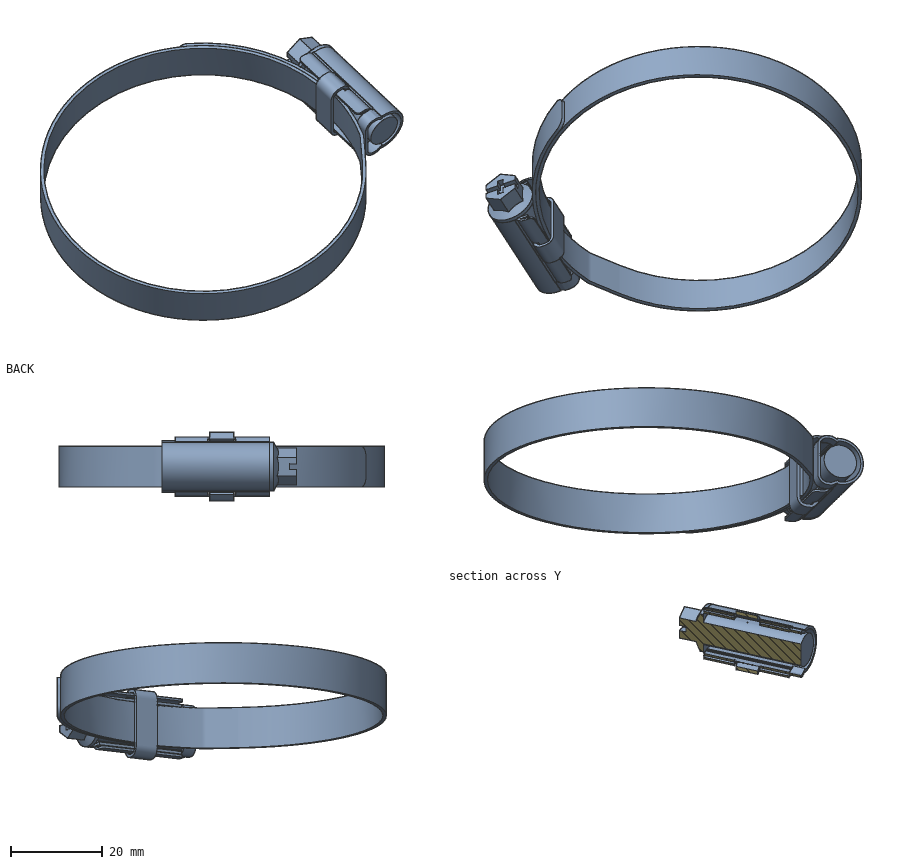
import cadquery as cq
import math


band_outer_radius = 35.7
band_thickness = 0.75
band_width = 9.0
lap_clearance = 0.03
ramp_end_angle = 55.0
under_end_angle = 88.0
tail_end_angle = 150.0
tail_corner_radius = 2.2
ramp_bend_radius = 3.0

band_inner_radius = band_outer_radius - band_thickness
lap_inner_radius = band_outer_radius + lap_clearance
lap_outer_radius = lap_inner_radius + band_thickness

clamp_top = 45.7
cap_radius = 5.38
screw_y = clamp_top - cap_radius
cap_end_x = -10.5
cap_rim_length = 0.85
cap_cone_length = 1.1
hex_across_flats = 7.0
hex_end_x = -16.35
shaft_radius = 3.75
slot_width = 1.2
cross_slot_width = 1.35
cross_slot_length = 4.1
slot_depth = 1.5

cap_rim_x = cap_end_x - cap_rim_length
hex_base_x = cap_rim_x - cap_cone_length

housing_start_x = cap_end_x
housing_end_x = 13.15
shell_thickness = 0.6
tube_radius = 5.33
end_sleeve_x = 10.2
end_sleeve_bottom_y = 35.1
end_sleeve_outer_z = 5.7
end_sleeve_corner_radius = 2.3
end_sleeve_shoulder_y = 38.4
end_sleeve_shoulder_radius = 0.7
end_sleeve_root_y = 40.0
end_sleeve_root_z = 4.9
leg_outer_z = 5.55
leg_top_y = 39.6
leg_bottom_y = 36.5
wing_outer_z = 6.5
wing_thickness = 0.5
wing_root_y = 39.5
wing_root_z = 5.1
wing_shoulder_y = 38.0
wing_bottom_y = 35.2
wing_bend_radius = 2.2
wing_corner_radius = 1.0
window_length = 6.1
window_bottom_y = 37.4
window_top_y = 38.95
window_floor_z = 5.2

clip_length = 5.3
clip_thickness = 0.7
clip_outer_y = 33.88
clip_half_height = 7.55
clip_lower_bend_radius = 2.2
clip_shoulder_y = 37.6
clip_upper_bend_radius = 1.6
clip_tip_y = 38.95
clip_tip_z = 6.1


def polar(radius, degrees):
    angle = math.radians(degrees)
    return (radius * math.cos(angle), radius * math.sin(angle))


def arc_to(path, radius, start, end):
    """Extends the path along an arc about the Z axis, between two angles."""
    return path.threePointArc(polar(radius, (start + end) / 2), polar(radius, end))


def box_between(x_range, y_range, z_range):
    lows, highs = zip(x_range, y_range, z_range)
    sizes = [high - low for low, high in zip(lows, highs)]
    return cq.Workplane("XY").box(*sizes, centered=False).translate(lows)


def x_cylinder(radius, start_x, end_x):
    """Cylinder on the screw axis."""
    section = cq.Workplane("YZ", origin=(start_x, screw_y, 0)).circle(radius)
    return section.extrude(end_x - start_x)


def with_mirror(half):
    return half.union(half.mirror("XY"))


def bent_sheet(outer, bend_radius, thickness, start_x, end_x):
    """Sheet with one or more bends, extruded along X.

    `outer` lists (y, z) points along the outer face, whose left-hand side is outside.
    `bend_radius` lists the outer radius at each point between the first and the last.
    """
    directions = []
    for (y0, z0), (y1, z1) in zip(outer, outer[1:]):
        length = math.hypot(y1 - y0, z1 - z0)
        directions.append(((y1 - y0) / length, (z1 - z0) / length))

    inner = []
    for index, (y, z) in enumerate(outer):
        before_y, before_z = directions[max(index - 1, 0)]
        after_y, after_z = directions[min(index, len(directions) - 1)]
        miter = thickness / (1 + before_y * after_y + before_z * after_z)
        inner.append((y + miter * (before_z + after_z), z - miter * (before_y + after_y)))

    sheet = cq.Workplane("YZ", origin=(start_x, 0, 0)).polyline(outer + inner[::-1]).close()
    sheet = sheet.extrude(end_x - start_x)
    middle_x = (start_x + end_x) / 2
    for outer_point, inner_point, radius in zip(outer[1:-1], inner[1:-1], bend_radius):
        sheet = sheet.edges(cq.NearestToPointSelector((middle_x, *outer_point))).fillet(radius)
        inner_edge = cq.NearestToPointSelector((middle_x, *inner_point))
        sheet = sheet.edges(inner_edge).fillet(radius - thickness)
    return sheet


def make_band():
    """One strip, lapped over itself beneath the screw."""
    outer_ramp_angle = ramp_end_angle + math.degrees(math.acos(band_outer_radius / lap_outer_radius))
    inner_ramp_angle = ramp_end_angle + math.degrees(math.acos(band_inner_radius / lap_inner_radius))
    full_turn_angle = under_end_angle - 360

    path = cq.Workplane("XY", origin=(0, 0, -band_width / 2))
    path = path.moveTo(*polar(lap_outer_radius, tail_end_angle))
    path = arc_to(path, lap_outer_radius, tail_end_angle, outer_ramp_angle)
    path = path.lineTo(*polar(band_outer_radius, ramp_end_angle))
    path = arc_to(path, band_outer_radius, ramp_end_angle, full_turn_angle)
    path = path.lineTo(*polar(band_inner_radius, full_turn_angle))
    path = arc_to(path, band_inner_radius, full_turn_angle, ramp_end_angle)
    path = path.lineTo(*polar(lap_inner_radius, inner_ramp_angle))
    path = arc_to(path, lap_inner_radius, inner_ramp_angle, tail_end_angle)
    band = path.close().extrude(band_width)

    outer_bend = cq.NearestToPointSelector((*polar(lap_outer_radius, outer_ramp_angle), 0))
    band = band.edges(outer_bend).fillet(ramp_bend_radius + band_thickness)
    inner_bend = cq.NearestToPointSelector((*polar(lap_inner_radius, inner_ramp_angle), 0))
    band = band.edges(inner_bend).fillet(ramp_bend_radius)

    tail_x, tail_y = polar((lap_inner_radius + lap_outer_radius) / 2, tail_end_angle)
    for side in (-1, 1):
        corner = cq.NearestToPointSelector((tail_x, tail_y, side * band_width / 2))
        band = band.edges(corner).fillet(tail_corner_radius)
    return band


def make_screw():
    """Slotted hexagon head, coned cap and plain shaft."""
    hex_corner_diameter = hex_across_flats / math.cos(math.pi / 6)
    head = cq.Workplane("YZ", origin=(hex_end_x, screw_y, 0))
    head = head.transformed(rotate=(0, 0, 90)).polygon(6, hex_corner_diameter)
    head = head.extrude(cap_rim_x - hex_end_x)

    cap = cq.Workplane("XY").polyline([
        (hex_base_x, screw_y),
        (hex_base_x, screw_y + hex_across_flats / 2),
        (cap_rim_x, screw_y + cap_radius),
        (cap_end_x, screw_y + cap_radius),
        (cap_end_x, screw_y),
    ]).close().revolve(360, (0, screw_y, 0), (1, screw_y, 0))

    shaft = x_cylinder(shaft_radius, cap_end_x, housing_end_x)
    slots = cq.Workplane("YZ", origin=(hex_end_x, screw_y, 0))
    slots = slots.rect(2 * hex_across_flats, slot_width).extrude(slot_depth)
    cross = cq.Workplane("YZ", origin=(hex_end_x, screw_y, 0))
    cross = cross.rect(cross_slot_width, cross_slot_length).extrude(slot_depth)
    return head.union(cap).union(shaft).cut(slots).cut(cross)


def make_wing():
    """Flared side of the housing on +Z, with a window for the clip."""
    outer_face = [
        (wing_bottom_y, wing_outer_z),
        (wing_shoulder_y, wing_outer_z),
        (wing_root_y, wing_root_z),
    ]
    wing = bent_sheet(outer_face, [wing_bend_radius], wing_thickness, housing_start_x, end_sleeve_x)
    for x in (housing_start_x, end_sleeve_x):
        corner = cq.NearestToPointSelector((x, wing_bottom_y, wing_outer_z - wing_thickness / 2))
        wing = wing.edges(corner).fillet(wing_corner_radius)
    return wing


def make_tube():
    """Half tube over the screw, its sides running straight down to the legs."""
    x_range = (housing_start_x, housing_end_x)
    bore_radius = tube_radius - shell_thickness
    arch = x_cylinder(tube_radius, *x_range).cut(x_cylinder(bore_radius, *x_range))
    lower_half = box_between(x_range, (screw_y - tube_radius, screw_y), (-tube_radius, tube_radius))
    side = box_between(x_range, (leg_top_y, screw_y), (bore_radius, tube_radius))
    return arch.cut(lower_half).union(with_mirror(side))


def make_end_sleeve():
    """Trough that joins the two sides of the tube beneath the +X end of the screw."""
    outer_face = [
        (end_sleeve_bottom_y, 0),
        (end_sleeve_bottom_y, end_sleeve_outer_z),
        (end_sleeve_shoulder_y, end_sleeve_outer_z),
        (end_sleeve_root_y, end_sleeve_root_z),
    ]
    bends = [end_sleeve_corner_radius, end_sleeve_shoulder_radius]
    return with_mirror(bent_sheet(outer_face, bends, shell_thickness, end_sleeve_x, housing_end_x))


def make_housing():
    """Half tube with straight legs and flared wings, closed by a trough at its +X end."""
    leg_z = (leg_outer_z - shell_thickness, leg_outer_z)
    leg = box_between((housing_start_x, end_sleeve_x), (leg_bottom_y, leg_top_y), leg_z)
    half_window = window_length / 2
    window = box_between(
        (-half_window, half_window), (window_bottom_y, window_top_y), (window_floor_z, clip_half_height)
    )
    sides = with_mirror(leg.union(make_wing()).cut(window))
    return make_tube().union(sides).union(make_end_sleeve())


def make_clip():
    """Loop under the band whose ends hook into the wing windows."""
    outer_face = [
        (clip_outer_y, 0),
        (clip_outer_y, clip_half_height),
        (clip_shoulder_y, clip_half_height),
        (clip_tip_y, clip_tip_z),
    ]
    bends = [clip_lower_bend_radius, clip_upper_bend_radius]
    half_length = clip_length / 2
    return with_mirror(bent_sheet(outer_face, bends, clip_thickness, -half_length, half_length))


band = make_band()
screw = make_screw()
housing = make_housing()
clip = make_clip()

result = cq.Compound.makeCompound([band.val(), screw.val(), housing.val(), clip.val()])